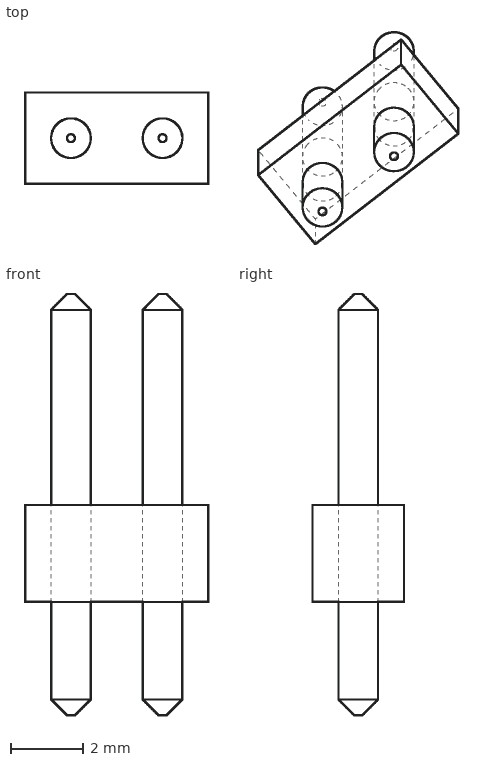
import cadquery as cq

pitch = 2.54
pin_count = 2
pin_diameter = 1.1
pin_chamfer = 0.4 * pin_diameter
housing_height = 2.69
pin_above_housing = 5.85
pin_below_housing = 3.15

housing_length = pin_count * pitch
housing_width = pitch
pin_length = pin_below_housing + housing_height + pin_above_housing
pin_positions = [(i - (pin_count - 1) / 2) * pitch for i in range(pin_count)]


def make_housing():
    """Rectangular block resting on Z = 0, with a through hole for each pin."""
    block = cq.Workplane("XY").box(
        housing_length, housing_width, housing_height, centered=(True, True, False)
    )
    return (
        block.faces(">Z")
        .workplane()
        .pushPoints([(x, 0) for x in pin_positions])
        .hole(pin_diameter)
    )


def make_pin(x):
    """Round pin through the housing, chamfered to a small flat at both ends."""
    return (
        cq.Workplane("XY", origin=(x, 0, -pin_below_housing))
        .circle(pin_diameter / 2)
        .extrude(pin_length)
        .faces("<Z or >Z")
        .edges()
        .chamfer(pin_chamfer)
    )


housing = make_housing()
pins = [make_pin(x) for x in pin_positions]

result = cq.Compound.makeCompound([housing.val(), *[pin.val() for pin in pins]])